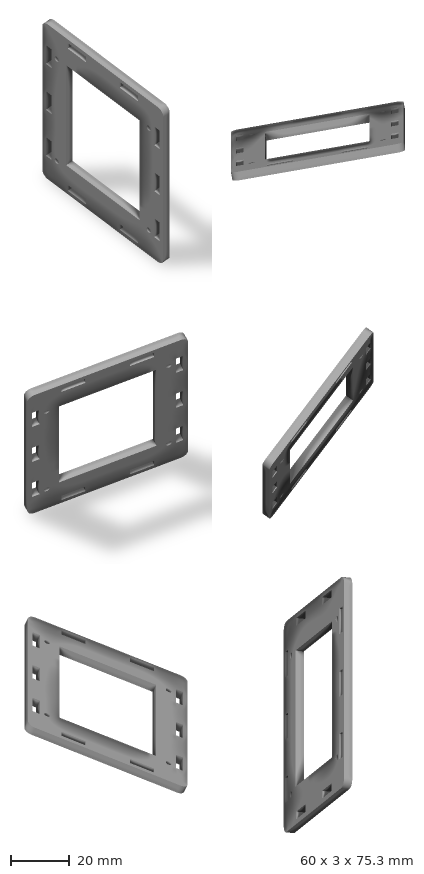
import cadquery as cq

plate_width = 59.95
plate_height = 75.3
plate_thickness = 3.0
corner_radius = 2.7

window_width = 36.3
window_height = 48.6
window_center_z = 0.2

slot_length = 9.0
slot_width = 2.7
slot_edge_margin = 1.7
side_slot_pitch = 22.4
end_slot_pitch = 25.75

hole_diameter = 2.1
hole_spacing_x = 45.6
hole_spacing_z = 49.6
hole_center_z = -0.75

side_slot_x = plate_width / 2 - slot_edge_margin - slot_width / 2
end_slot_z = plate_height / 2 - slot_edge_margin - slot_width / 2


def through_box(width, height, x, z):
    """Block as thick as the plate, centred at (x, z)."""
    return cq.Workplane("XY").box(width, plate_thickness, height).translate((x, 0, z))


def make_plate():
    blank = through_box(plate_width, plate_height, 0, 0)
    return blank.edges("|Y").fillet(corner_radius)


def cut_window(body):
    return body.cut(through_box(window_width, window_height, 0, window_center_z))


def cut_slots(body):
    for side in (-1, 1):
        for step in (-1, 0, 1):
            body = body.cut(
                through_box(slot_width, slot_length, side * side_slot_x, step * side_slot_pitch)
            )
        for half in (-0.5, 0.5):
            body = body.cut(
                through_box(slot_length, slot_width, half * end_slot_pitch, side * end_slot_z)
            )
    return body


def cut_screw_holes(body):
    holes = (
        cq.Workplane("XZ")
        .center(0, hole_center_z)
        .rect(hole_spacing_x, hole_spacing_z, forConstruction=True)
        .vertices()
        .circle(hole_diameter / 2)
        .extrude(plate_thickness / 2, both=True)
    )
    return body.cut(holes)


result = cut_screw_holes(cut_slots(cut_window(make_plate())))